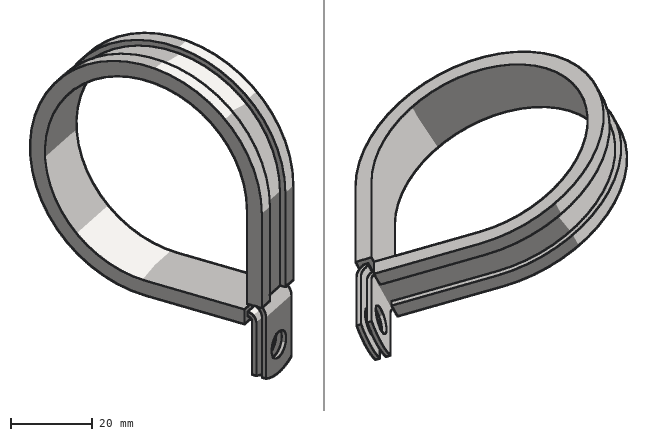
import cadquery as cq
import math


loop_radius = 32.9
cushion_thickness = 4.3
cushion_width = 15.75
groove_width = 7.7
groove_depth = 1.55
upright_leg_end_z = -26.8
flat_leg_end_x = 27.95

strap_thickness = 1.2
strap_width = 12.6
strap_radius = loop_radius - groove_depth
strap_inner_radius = strap_radius - strap_thickness

outer_tab_face_x = 33.2
tab_gap = 1.55
inner_tab_face_x = outer_tab_face_x - strap_thickness - tab_gap
tab_bottom_z = -49.1
tab_end_sagitta = 1.4
bend_outer_radius = inner_tab_face_x - flat_leg_end_x
bend_inner_radius = bend_outer_radius - strap_thickness
jog_start_z = -26.9
jog_angle = 45.0
jog_bend_inner_radius = 2.5
hole_diameter = 7.2
hole_height_above_tab_end = 8.0
hole_z = tab_bottom_z + hole_height_above_tab_end


def extrude_centred(profile, width):
    """Extrude an XZ profile by the given width, centred on Y = 0."""
    return profile.extrude(width / 2, both=True)


def loop_band(outer_radius, thickness, width):
    """Three-quarter ring with straight tangent legs down and to the right."""
    inner_radius = outer_radius - thickness
    diagonal = math.sqrt(0.5)
    profile = (
        cq.Workplane("XZ")
        .moveTo(outer_radius, upright_leg_end_z)
        .lineTo(outer_radius, 0)
        .threePointArc((-outer_radius * diagonal, outer_radius * diagonal), (0, -outer_radius))
        .lineTo(flat_leg_end_x, -outer_radius)
        .lineTo(flat_leg_end_x, -inner_radius)
        .lineTo(0, -inner_radius)
        .threePointArc((-inner_radius * diagonal, inner_radius * diagonal), (inner_radius, 0))
        .lineTo(inner_radius, upright_leg_end_z)
        .close()
    )
    return extrude_centred(profile, width)


def fillet_edge_along_y(body, x, z, radius):
    """Round the edge parallel to Y that passes closest to the given X and Z."""
    return body.edges("|Y").edges(cq.NearestToPointSelector((x, 0, z))).fillet(radius)


def jogged_tab():
    """Tab below the upright leg, stepped outward by a slanted jog."""
    jog_drop = (outer_tab_face_x - strap_radius) / math.tan(math.radians(jog_angle))
    mitre_drop = strap_thickness * math.tan(math.radians(jog_angle / 2))
    inner_jog_z = jog_start_z - mitre_drop
    profile = cq.Workplane("XZ").polyline([
        (strap_radius, upright_leg_end_z),
        (strap_radius, jog_start_z),
        (outer_tab_face_x, jog_start_z - jog_drop),
        (outer_tab_face_x, tab_bottom_z),
        (outer_tab_face_x - strap_thickness, tab_bottom_z),
        (outer_tab_face_x - strap_thickness, inner_jog_z - jog_drop),
        (strap_inner_radius, inner_jog_z),
        (strap_inner_radius, upright_leg_end_z),
    ]).close()
    tab = extrude_centred(profile, strap_width)
    tab = fillet_edge_along_y(tab, outer_tab_face_x, jog_start_z - jog_drop,
                              jog_bend_inner_radius + strap_thickness)
    return fillet_edge_along_y(tab, outer_tab_face_x - strap_thickness, inner_jog_z - jog_drop,
                               jog_bend_inner_radius)


def bent_tab():
    """Tab at the end of the flat leg, turned down through a round bend."""
    bend_z = -strap_inner_radius - bend_outer_radius
    profile = (
        cq.Workplane("XZ")
        .moveTo(flat_leg_end_x, -strap_inner_radius)
        .radiusArc((inner_tab_face_x, bend_z), bend_outer_radius)
        .lineTo(inner_tab_face_x, tab_bottom_z)
        .lineTo(inner_tab_face_x - strap_thickness, tab_bottom_z)
        .lineTo(inner_tab_face_x - strap_thickness, bend_z)
        .radiusArc((flat_leg_end_x, -strap_radius), -bend_inner_radius)
        .close()
    )
    return extrude_centred(profile, strap_width)


def tab_outline():
    """Tab outline with a shallow curved lower end, as a block through both tabs."""
    half_width = strap_width / 2
    corner_z = tab_bottom_z + tab_end_sagitta
    return (
        cq.Workplane("YZ")
        .moveTo(-half_width, upright_leg_end_z)
        .lineTo(-half_width, corner_z)
        .threePointArc((0, tab_bottom_z), (half_width, corner_z))
        .lineTo(half_width, upright_leg_end_z)
        .close()
        .extrude(outer_tab_face_x)
    )


def bolt_hole():
    """Cylinder along X for the bolt hole through both tabs."""
    return (
        cq.Workplane("YZ")
        .center(0, hole_z)
        .circle(hole_diameter / 2)
        .extrude(outer_tab_face_x)
    )


cushion = loop_band(loop_radius, cushion_thickness, cushion_width)
groove = loop_band(loop_radius, groove_depth, groove_width)
tabs = jogged_tab().union(bent_tab()).intersect(tab_outline()).cut(bolt_hole())

result = cushion.cut(groove).union(tabs)